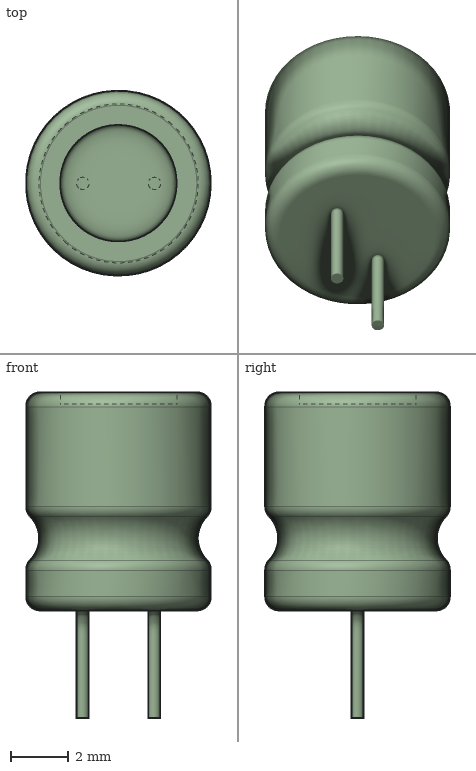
import cadquery as cq
import math

total_height = 11.35
body_diameter = 6.45
body_radius = body_diameter / 2
edge_radius = 0.5

lead_length = 3.75
lead_diameter = 0.43
lead_pitch = 2.5

recess_diameter = 4.06
recess_depth = 0.4

groove_height = 6.27
groove_depth = 0.45
groove_half_width = 1.11

centre_distance = (groove_depth**2 + groove_half_width**2) / (2 * groove_depth)
groove_radius = centre_distance - edge_radius
tangent_fraction = groove_radius / centre_distance
neck_radius = body_radius - groove_depth
groove_centre_r = neck_radius + groove_radius
edge_centre_r = body_radius - edge_radius
tangent_r = groove_centre_r + tangent_fraction * (edge_centre_r - groove_centre_r)
tangent_offset = tangent_fraction * groove_half_width

shoulder_angle = math.asin(groove_half_width / centre_distance) / 2
shoulder_mid_r = edge_centre_r + edge_radius * math.cos(shoulder_angle)
shoulder_mid_offset = groove_half_width - edge_radius * math.sin(shoulder_angle)

body_bottom = lead_length
rim_mid_inset = edge_radius * (1 - math.sqrt(0.5))
rim_mid_radius = body_radius - rim_mid_inset


def make_body():
    """Revolve the half section, drawn in the XZ plane, about the Z axis."""
    return (
        cq.Workplane("XZ")
        .moveTo(0, body_bottom)
        .lineTo(edge_centre_r, body_bottom)
        .threePointArc(
            (rim_mid_radius, body_bottom + rim_mid_inset),
            (body_radius, body_bottom + edge_radius),
        )
        .lineTo(body_radius, groove_height - groove_half_width)
        .threePointArc(
            (shoulder_mid_r, groove_height - shoulder_mid_offset),
            (tangent_r, groove_height - tangent_offset),
        )
        .threePointArc((neck_radius, groove_height), (tangent_r, groove_height + tangent_offset))
        .threePointArc(
            (shoulder_mid_r, groove_height + shoulder_mid_offset),
            (body_radius, groove_height + groove_half_width),
        )
        .lineTo(body_radius, total_height - edge_radius)
        .threePointArc(
            (rim_mid_radius, total_height - rim_mid_inset),
            (edge_centre_r, total_height),
        )
        .lineTo(0, total_height)
        .close()
        .revolve(360, (0, 0), (0, 1))
    )


def make_recess():
    floor = cq.Workplane("XY").workplane(offset=total_height - recess_depth)
    return floor.circle(recess_diameter / 2).extrude(recess_depth)


def make_leads():
    lead_places = [(-lead_pitch / 2, 0), (lead_pitch / 2, 0)]
    return cq.Workplane("XY").pushPoints(lead_places).circle(lead_diameter / 2).extrude(lead_length)


result = make_body().cut(make_recess()).union(make_leads())